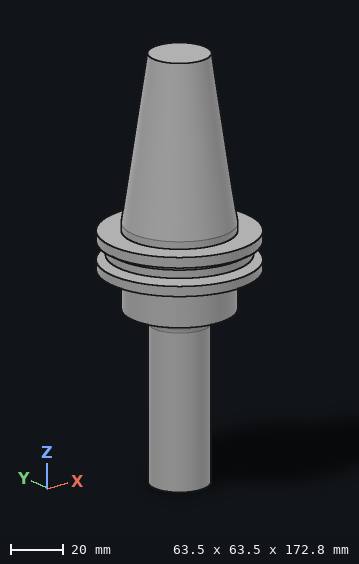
import cadquery as cq
import math

total_length = 172.8
flange_radius = 63.5 / 2
groove_radius = 56.5 / 2
body_radius = 44.4 / 2
shank_radius = 24.0 / 2
taper_tip_radius = 24.5 / 2

fillet_bottom = 64.3
body_bottom = 69.8
flange_bottom = 85.7
flange_top = 101.4
taper_base = 104.5

groove_middle = 93.5
groove_mouth_width = 7.5
groove_flank_angle = 30.0
groove_flank_rise = (flange_radius - groove_radius) * math.tan(math.radians(groove_flank_angle))
groove_mouth_bottom = groove_middle - groove_mouth_width / 2
groove_mouth_top = groove_middle + groove_mouth_width / 2
groove_floor_bottom = groove_mouth_bottom + groove_flank_rise
groove_floor_top = groove_mouth_top - groove_flank_rise

fillet_radius = body_bottom - fillet_bottom
fillet_center_radius = shank_radius + fillet_radius
fillet_mid_offset = fillet_radius * math.sqrt(0.5)
fillet_mid = (fillet_center_radius - fillet_mid_offset, fillet_bottom + fillet_mid_offset)

profile = (
    cq.Workplane("XZ")
    .lineTo(shank_radius, 0)
    .lineTo(shank_radius, fillet_bottom)
    .threePointArc(fillet_mid, (fillet_center_radius, body_bottom))
    .lineTo(body_radius, body_bottom)
    .lineTo(body_radius, flange_bottom)
    .lineTo(flange_radius, flange_bottom)
    .lineTo(flange_radius, groove_mouth_bottom)
    .lineTo(groove_radius, groove_floor_bottom)
    .lineTo(groove_radius, groove_floor_top)
    .lineTo(flange_radius, groove_mouth_top)
    .lineTo(flange_radius, flange_top)
    .lineTo(body_radius, flange_top)
    .lineTo(body_radius, taper_base)
    .lineTo(taper_tip_radius, total_length)
    .lineTo(0, total_length)
    .close()
)

result = profile.revolve(360, (0, 0, 0), (0, 1, 0))